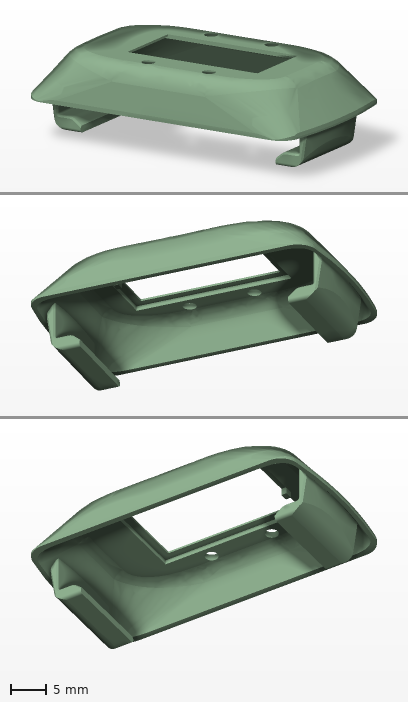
import cadquery as cq
import math

cover_height = 7.0
base_half_length = 22.83
base_half_width = 13.0
end_bow_radius = 60.0
base_corner_radius = 3.0
front_lip_height = 0.65
end_lip_height = 0.28
end_flank_top = 0.85
end_flank_draft = 10.0
front_draft = 10.0
end_draft = 38.5
top_fillet = 3.0
front_flat_base, front_flat_top = 18.0, 2.1
end_flat_base, end_flat_top = 10.6, 4.1
corner_fullness_base, corner_fullness_top = 0.70, 0.63

wall = 1.0
cavity_fillet = top_fillet - wall

window_length, window_width = 21.5, 10.9
window_x = 1.43
rim_thickness = 0.3
rim_margin = 1.2
hole_diameter = 2.0
hole_x = (-4.0, 6.0)
hole_y = 8.45

tab_length, tab_width = 0.8, 1.2
tab_y = 1.7
tab_bottom = 5.6

clip_half_width = 7.0
clip_bottom = -5.5
clip_outer = 21.6
clip_inner = 19.95
clip_draft = 8.6
clip_root_top = 3.0
clip_bend_start = (20.69, -3.85)
clip_bend_middle = (19.95, -4.9)
clip_bend_end = 18.7
clip_slope = 0.42
hook_top = -3.4
hook_tip = 16.1
hook_bevel_length, hook_bevel_height = 1.3, 1.05
hook_root_fillet = 0.3
hook_bevel_fillet = 1.4
clip_bottom_fillet = 0.5
clip_side_chamfer = 0.25


def bowed_slab(half_length, half_width):
    """Rectangle about the origin whose two ends bow outward."""
    corner_x = half_length - end_bow_radius + math.sqrt(end_bow_radius**2 - half_width**2)
    return (
        cq.Workplane("XY")
        .moveTo(-corner_x, -half_width)
        .lineTo(corner_x, -half_width)
        .threePointArc((half_length, 0), (corner_x, half_width))
        .lineTo(-corner_x, half_width)
        .threePointArc((-half_length, 0), (-corner_x, -half_width))
        .close()
    )


def between(base, top, z):
    return base + (top - base) * z / cover_height


def drafted_outline(z, inset=0.0):
    """Outline of the drafted shell at height z: flats joined by elliptical corners."""
    end_slope = math.tan(math.radians(end_draft))
    front_slope = math.tan(math.radians(front_draft))
    flank_inset = (end_flank_top - end_lip_height) * math.tan(math.radians(end_flank_draft))
    half_x = base_half_length - flank_inset - (z - end_flank_top) * end_slope
    half_x -= inset / math.cos(math.radians(end_draft))
    half_y = base_half_width - (z - front_lip_height) * front_slope
    half_y -= inset / math.cos(math.radians(front_draft))
    flat_x = between(front_flat_base, front_flat_top, z) - inset
    flat_y = between(end_flat_base, end_flat_top, z) - inset

    fullness = between(corner_fullness_base, corner_fullness_top, z)

    bow = between(1.0, 0.0, z) / end_bow_radius
    side_x = half_x - bow * flat_y**2 / 2
    tangent_slope = bow * flat_y
    corner_x = side_x - tangent_slope * (half_y - flat_y)

    def point(sx, sy, x, y):
        return cq.Vector(sx * x, sy * y, z)

    def corner(sx, sy):
        start = point(sx, sy, flat_x, half_y)
        apex = point(sx, sy, corner_x, half_y)
        end = point(sx, sy, side_x, flat_y)
        handles = [p + (apex - p) * fullness for p in (start, end)]
        return [start, handles[0], handles[1], end]

    def end_edge(sx, first_y):
        start = point(sx, first_y, side_x, flat_y)
        end = point(sx, -first_y, side_x, flat_y)
        if bow > 0:
            return cq.Edge.makeThreePointArc(start, point(sx, 1, half_x, 0), end)
        return cq.Edge.makeLine(start, end)

    right_front, right_back = corner(1, -1), corner(1, 1)
    left_back, left_front = corner(-1, 1), corner(-1, -1)
    edges = [
        cq.Edge.makeLine(left_front[0], right_front[0]),
        cq.Edge.makeBezier(right_front),
        end_edge(1, -1),
        cq.Edge.makeBezier(right_back[::-1]),
        cq.Edge.makeLine(right_back[0], left_back[0]),
        cq.Edge.makeBezier(left_back),
        end_edge(-1, 1),
        cq.Edge.makeBezier(left_front[::-1]),
    ]
    return cq.Wire.assembleEdges(edges)


def drafted_solid(top_z, inset, fillet):
    outlines = [drafted_outline(0, inset), drafted_outline(top_z, inset)]
    solid = cq.Workplane(cq.Solid.makeLoft(outlines, True))
    return solid.faces(">Z").edges().fillet(fillet)


def make_envelope():
    """Outer shape: the drafted shell trimmed by the base outline and the end flanks."""
    shell = drafted_solid(cover_height, 0, top_fillet)
    base = bowed_slab(base_half_length, base_half_width).extrude(cover_height)
    base = base.edges("|Z").fillet(base_corner_radius)
    beyond_width = base_half_width + 5
    flank = (
        bowed_slab(base_half_length, beyond_width)
        .extrude(cover_height, taper=end_flank_draft)
        .translate((0, 0, end_lip_height))
    )
    flank = flank.union(bowed_slab(base_half_length, beyond_width).extrude(end_lip_height))
    return shell.intersect(base).intersect(flank)


def make_openings():
    """Window, the thinned rim below it and the four screw holes."""
    window = cq.Workplane("XY").center(window_x, 0).rect(window_length, window_width).extrude(cover_height)
    rim = (
        cq.Workplane("XY")
        .center(window_x, 0)
        .rect(window_length + 2 * rim_margin, window_width + 2 * rim_margin)
        .extrude(cover_height - rim_thickness)
    )
    hole_places = [(x, sy * hole_y) for x in hole_x for sy in (-1, 1)]
    holes = cq.Workplane("XY").pushPoints(hole_places).circle(hole_diameter / 2).extrude(cover_height)
    return window.union(rim).union(holes)


def make_tab():
    edge_x = window_x + window_length / 2
    height = cover_height - rim_thickness / 2 - tab_bottom
    return cq.Workplane("XY").box(tab_length, tab_width, height, centered=(False, True, False)).translate(
        (edge_x, tab_y, tab_bottom)
    )


def nearest(x, y, z):
    return cq.selectors.NearestToPointSelector((x, y, z))


def make_clip():
    """Clip on the +X end: a wall hanging from the cover with an inward hook."""
    root_x = clip_bend_start[0] + clip_slope * (clip_root_top - clip_bend_start[1])
    hook = (
        cq.Workplane("XZ")
        .moveTo(clip_inner, clip_root_top)
        .lineTo(root_x, clip_root_top)
        .lineTo(*clip_bend_start)
        .threePointArc(clip_bend_middle, (clip_bend_end, clip_bottom))
        .lineTo(hook_tip, clip_bottom)
        .lineTo(hook_tip, hook_top - hook_bevel_height)
        .lineTo(hook_tip + hook_bevel_length, hook_top)
        .lineTo(clip_inner, hook_top)
        .close()
        .extrude(clip_half_width, both=True)
    )
    bevel_x = hook_tip + hook_bevel_length
    bevel_z = hook_top - hook_bevel_height
    hook = hook.edges(nearest(clip_inner, 0, hook_top)).fillet(hook_root_fillet)
    hook = hook.edges(nearest(bevel_x, 0, hook_top)).fillet(hook_bevel_fillet)
    for y in (-clip_half_width, clip_half_width):
        hook = hook.edges(nearest((clip_bend_end + hook_tip) / 2, y, clip_bottom)).fillet(clip_bottom_fillet)
    for y in (-clip_half_width, clip_half_width):
        wall_edge = nearest(clip_inner, y, (clip_root_top + hook_top) / 2)
        root_edge = nearest(clip_inner - hook_root_fillet / 3, y, hook_top + hook_root_fillet / 3)
        hook_edge = nearest((clip_inner + bevel_x) / 2, y, hook_top)
        crest_edge = nearest(bevel_x, y, hook_top)
        bevel_edge = nearest(hook_tip + hook_bevel_length / 4, y, bevel_z + hook_bevel_height / 4)
        inner_edges = wall_edge + root_edge + hook_edge + crest_edge + bevel_edge
        hook = hook.edges(inner_edges).chamfer(clip_side_chamfer)

    beyond_width = clip_half_width + 3
    bound = bowed_slab(clip_outer, beyond_width).extrude(clip_root_top)
    bound = bound.union(bowed_slab(clip_outer, beyond_width).extrude(clip_bottom, taper=clip_draft))
    clip = hook.intersect(bound)
    for y in (-clip_half_width, clip_half_width):
        clip = clip.edges(nearest(clip_bend_start[0], y, clip_bend_start[1] / 2)).chamfer(clip_side_chamfer)
    return clip


envelope = make_envelope()
cavity = drafted_solid(cover_height - wall, wall, cavity_fillet)
cover = envelope.cut(cavity).cut(make_openings())

below_cover = bowed_slab(base_half_length, base_half_width).extrude(clip_bottom)
clip = make_clip()
clips = clip.union(clip.mirror("YZ")).intersect(envelope.union(below_cover))

result = cover.union(make_tab()).union(clips)